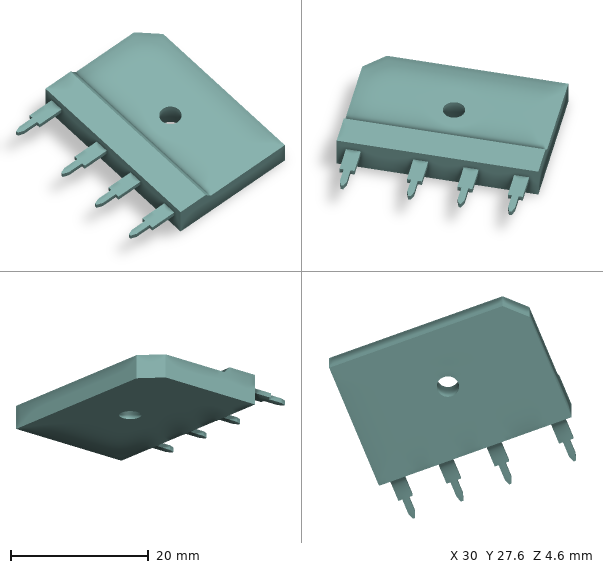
import cadquery as cq

width = 30.0
depth = 20.0
height = 4.6
step_drop = 1.0
bar_depth = 4.8
corner_cut = 3.0
hole_diameter = 3.25
hole_y = 11.0

overall_depth = 27.63
lead_length = overall_depth - depth
lead_thickness = 0.72
lead_center_z = 2.82
lead_width = 2.22
shoulder_length = 4.23
pin_width = 1.02
tip_width = 0.35
tip_length = 0.9
outer_lead_x = 12.5
lead_pitch = 7.5
lead_positions = [
    -outer_lead_x,
    outer_lead_x - 2 * lead_pitch,
    outer_lead_x - lead_pitch,
    outer_lead_x,
]


def make_housing():
    """Stepped block with a 45 degree ramp, a cut corner and a mounting hole."""
    deck_z = height - step_drop
    ramp_end_y = bar_depth + step_drop
    profile = [
        (0, 0),
        (depth, 0),
        (depth, deck_z),
        (ramp_end_y, deck_z),
        (bar_depth, height),
        (0, height),
    ]
    block = cq.Workplane("YZ").polyline(profile).close().extrude(width / 2, both=True)
    block = block.edges("|Z and <X and >Y").chamfer(corner_cut)
    hole = cq.Workplane("XY").center(0, hole_y).circle(hole_diameter / 2).extrude(height)
    return block.cut(hole)


def make_lead(x):
    """Flat lead with a wide shoulder, a narrow pin and a tapered tip."""
    right_side = [
        (lead_width / 2, 0),
        (lead_width / 2, -shoulder_length),
        (pin_width / 2, -shoulder_length),
        (pin_width / 2, tip_length - lead_length),
        (tip_width / 2, -lead_length),
    ]
    left_side = [(-px, py) for px, py in reversed(right_side)]
    return (
        cq.Workplane("XY", origin=(x, 0, lead_center_z))
        .polyline(right_side + left_side)
        .close()
        .extrude(lead_thickness / 2, both=True)
    )


housing = make_housing()
leads = [make_lead(x) for x in lead_positions]
result = cq.Compound.makeCompound([housing.val(), *[lead.val() for lead in leads]])